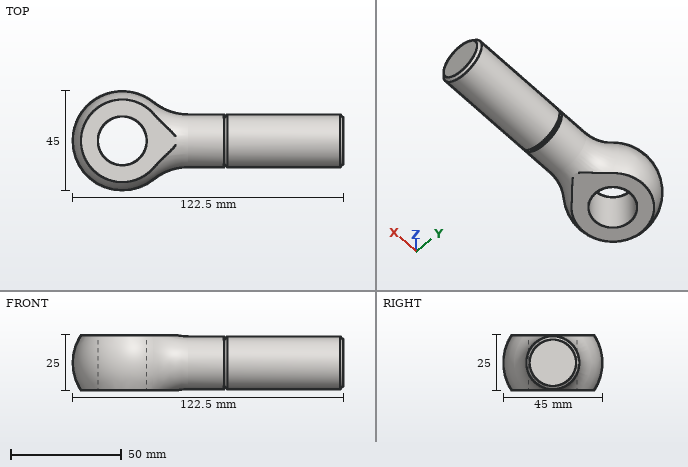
import cadquery as cq
import math

ball_radius = 22.5
eye_thickness = 25.0
hole_diameter = 22.0

shank_radius = 12.0
shank_end_x = 100.0

thread_length = 54.0
thread_depth = 1.5
thread_start_x = shank_end_x - thread_length

neck_radius = 25.0


def neck_arc():
    """Start, middle and end of the neck arc, tangent to both ball and shank."""
    centre_y = shank_radius + neck_radius
    centre_distance = ball_radius + neck_radius
    centre_x = math.sqrt(centre_distance**2 - centre_y**2)
    start_angle = math.atan2(-centre_y, -centre_x)
    end_angle = -math.pi / 2
    angles = (start_angle, (start_angle + end_angle) / 2, end_angle)
    return [
        (centre_x + neck_radius * math.cos(a), centre_y + neck_radius * math.sin(a))
        for a in angles
    ]


def turned_body():
    """Ball, neck and shank as one profile revolved about the X axis."""
    neck_start, neck_middle, neck_end = neck_arc()
    root_radius = shank_radius - thread_depth
    return (
        cq.Workplane("XY")
        .moveTo(-ball_radius, 0)
        .threePointArc((0, ball_radius), neck_start)
        .threePointArc(neck_middle, neck_end)
        .lineTo(thread_start_x, shank_radius)
        .lineTo(thread_start_x, root_radius)
        .lineTo(thread_start_x + thread_depth, shank_radius)
        .lineTo(shank_end_x - thread_depth, shank_radius)
        .lineTo(shank_end_x, root_radius)
        .lineTo(shank_end_x, 0)
        .close()
        .revolve(360, (0, 0, 0), (1, 0, 0))
    )


def flat_slab():
    """Slab that limits the body to the eye thickness along Z."""
    length = 2 * (shank_end_x + ball_radius)
    return cq.Workplane("XY").box(length, 4 * ball_radius, eye_thickness)


def eye_hole():
    """Through hole along Z at the ball centre."""
    return (
        cq.Workplane("XY", origin=(0, 0, -eye_thickness / 2))
        .circle(hole_diameter / 2)
        .extrude(eye_thickness)
    )


result = turned_body().intersect(flat_slab()).cut(eye_hole())